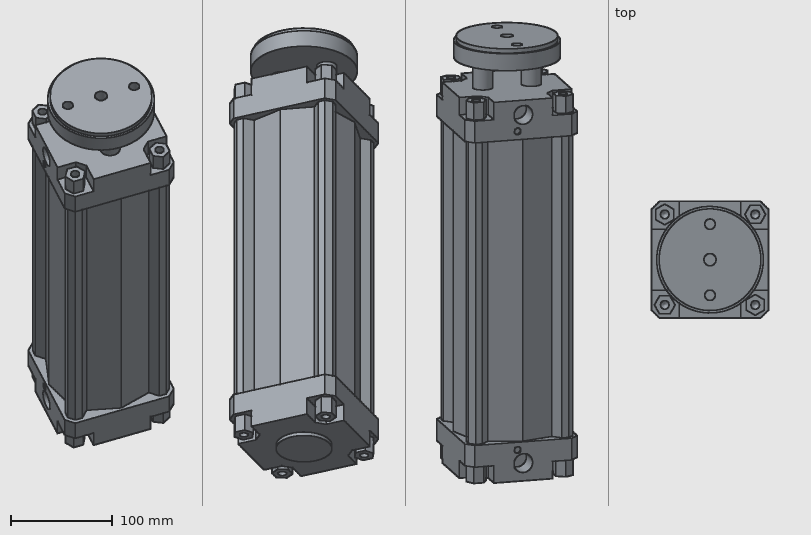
import cadquery as cq
import math

TOTAL_HEIGHT = 443.0
SPIGOT_HEIGHT = 4.0
CAP_HEIGHT = 40.0
UPPER_CAP_TOP = 392.0
LOWER_CAP_TOP = SPIGOT_HEIGHT + CAP_HEIGHT
UPPER_CAP_BOTTOM = UPPER_CAP_TOP - CAP_HEIGHT

CAP_SIDE = 115.0
CAP_CHAMFER = 8.0
CAP_CENTRE_SIDE = 60.2
NOTCH_DEPTH = 17.5
NOTCH_CORNER_CHAMFER = 8.0
SPIGOT_DIAMETER = 55.0

RIDGE_DISTANCE = 55.0
LOBE_DISTANCE = 53.5
LOBE_CHAMFER = 5.8
LOBE_INNER_EDGE = 40.8
RECESS_EDGE = 33.0
RECESS_DISTANCE = LOBE_DISTANCE - (LOBE_INNER_EDGE - RECESS_EDGE)

NUT_SPACING = 89.0
NUT_ACROSS_FLATS = 17.5
NUT_ACROSS_CORNERS = NUT_ACROSS_FLATS / math.cos(math.pi / 6)
NUT_HOLE_DIAMETER = 8.5
NUT_HOLE_DEPTH = 9.0
DRILL_POINT_ANGLE = 118.0

PORT_DIAMETER = 19.0
PORT_DEPTH = 22.0
SCREW_HOLE_DIAMETER = 6.5
SCREW_HOLE_DEPTH = 2.0
SCREW_HOLE_X = -5.8
UPPER_PORT_Z = 377.0
UPPER_SCREW_HOLE_Z = 360.5
LOWER_PORT_Z = 22.0
LOWER_SCREW_HOLE_Z = 36.0

PLATE_DIAMETER = 105.0
PLATE_TOP_DIAMETER = 100.0
PLATE_THICKNESS = 21.5
PLATE_STEP_HEIGHT = 4.5
ROD_DIAMETER = 20.0
ROD_OFFSET = 25.0
CENTRE_HOLE_DIAMETER = 12.0
SIDE_HOLE_DIAMETER = 10.0
SIDE_HOLE_OFFSET = 35.0
PLATE_HOLE_DEPTH = 13.5


def cylinder(diameter, height, x=0.0, y=0.0, z=0.0):
    """Upright cylinder standing on height z."""
    return cq.Workplane("XY", origin=(x, y, z)).circle(diameter / 2).extrude(height)


def quarter_turns(solid):
    """The solid and its copies turned about Z into the other three corners."""
    return [solid.rotate((0, 0, 0), (0, 0, 1), 90 * turn) for turn in range(4)]


def corner_notch():
    """Cutter for the +X +Y corner notch, with its inner corner chamfered."""
    inner = CAP_CENTRE_SIDE / 2
    outer = CAP_SIDE / 2
    return (
        cq.Workplane("XY")
        .moveTo(inner + NOTCH_CORNER_CHAMFER, inner)
        .lineTo(outer, inner)
        .lineTo(outer, outer)
        .lineTo(inner, outer)
        .lineTo(inner, inner + NOTCH_CORNER_CHAMFER)
        .close()
        .extrude(NOTCH_DEPTH)
    )


def nut():
    """Hexagonal nut in the +X +Y corner, with a blind drilled hole in its upper end."""
    radius = NUT_HOLE_DIAMETER / 2
    point_depth = radius / math.tan(math.radians(DRILL_POINT_ANGLE / 2))
    drill = (
        cq.Workplane("XZ")
        .moveTo(0, NOTCH_DEPTH)
        .lineTo(radius, NOTCH_DEPTH)
        .lineTo(radius, NOTCH_DEPTH - NUT_HOLE_DEPTH)
        .lineTo(0, NOTCH_DEPTH - NUT_HOLE_DEPTH - point_depth)
        .close()
        .revolve(360, (0, 0, 0), (0, 1, 0))
    )
    hexagon = cq.Workplane("XY").polygon(6, NUT_ACROSS_CORNERS).extrude(NOTCH_DEPTH)
    return hexagon.cut(drill).translate((NUT_SPACING / 2, NUT_SPACING / 2, 0))


def end_cap():
    """Cap standing on Z = 0 with its nuts at the upper end."""
    cap = (
        cq.Workplane("XY")
        .rect(CAP_SIDE, CAP_SIDE)
        .extrude(CAP_HEIGHT)
        .edges("|Z")
        .chamfer(CAP_CHAMFER)
    )
    notch_floor = CAP_HEIGHT - NOTCH_DEPTH
    for notch in quarter_turns(corner_notch()):
        cap = cap.cut(notch.translate((0, 0, notch_floor)))
    for corner_nut in quarter_turns(nut()):
        cap = cap.union(corner_nut.translate((0, 0, notch_floor)))
    return cap


def barrel():
    """Extruded tube body: chamfered corner lobes and a shallow ridge along each side."""
    chamfer_edge = LOBE_DISTANCE - LOBE_CHAMFER
    side = [
        (-chamfer_edge, -LOBE_DISTANCE),
        (-LOBE_INNER_EDGE, -LOBE_DISTANCE),
        (-RECESS_EDGE, -RECESS_DISTANCE),
        (0, -RIDGE_DISTANCE),
        (RECESS_EDGE, -RECESS_DISTANCE),
        (LOBE_INNER_EDGE, -LOBE_DISTANCE),
        (chamfer_edge, -LOBE_DISTANCE),
    ]
    outline = []
    for _ in range(4):
        outline += side
        side = [(-y, x) for x, y in side]
    return (
        cq.Workplane("XY", origin=(0, 0, LOWER_CAP_TOP))
        .polyline(outline)
        .close()
        .extrude(UPPER_CAP_BOTTOM - LOWER_CAP_TOP)
    )


def front_hole(diameter, depth, x, z):
    """Cutter for a blind hole going into the front face of a cap."""
    return cq.Workplane("XZ", origin=(x, -CAP_SIDE / 2, z)).circle(diameter / 2).extrude(-depth)


def make_housing():
    """Barrel between two end caps, with nuts, ports and the bottom spigot."""
    upper_cap = end_cap().translate((0, 0, UPPER_CAP_BOTTOM))
    lower_cap = end_cap().mirror("XY").translate((0, 0, LOWER_CAP_TOP))
    spigot = cylinder(SPIGOT_DIAMETER, SPIGOT_HEIGHT)
    housing = barrel().union(upper_cap).union(lower_cap).union(spigot)
    for port_z in (LOWER_PORT_Z, UPPER_PORT_Z):
        housing = housing.cut(front_hole(PORT_DIAMETER, PORT_DEPTH, 0, port_z))
    for screw_z in (LOWER_SCREW_HOLE_Z, UPPER_SCREW_HOLE_Z):
        housing = housing.cut(front_hole(SCREW_HOLE_DIAMETER, SCREW_HOLE_DEPTH, SCREW_HOLE_X, screw_z))
    return housing


def make_plunger():
    """Stepped round plate carried on two rods that stand on the upper cap."""
    plate_bottom = TOTAL_HEIGHT - PLATE_THICKNESS
    plunger = cylinder(PLATE_DIAMETER, PLATE_THICKNESS - PLATE_STEP_HEIGHT, z=plate_bottom)
    plunger = plunger.union(cylinder(PLATE_TOP_DIAMETER, PLATE_THICKNESS, z=plate_bottom))
    for x in (-ROD_OFFSET, ROD_OFFSET):
        plunger = plunger.union(cylinder(ROD_DIAMETER, plate_bottom - UPPER_CAP_TOP, x=x, z=UPPER_CAP_TOP))
    hole_floor = TOTAL_HEIGHT - PLATE_HOLE_DEPTH
    plunger = plunger.cut(cylinder(CENTRE_HOLE_DIAMETER, PLATE_HOLE_DEPTH, z=hole_floor))
    for y in (-SIDE_HOLE_OFFSET, SIDE_HOLE_OFFSET):
        plunger = plunger.cut(cylinder(SIDE_HOLE_DIAMETER, PLATE_HOLE_DEPTH, y=y, z=hole_floor))
    return plunger


housing = make_housing()
plunger = make_plunger()
result = cq.Compound.makeCompound([housing.val(), plunger.val()])